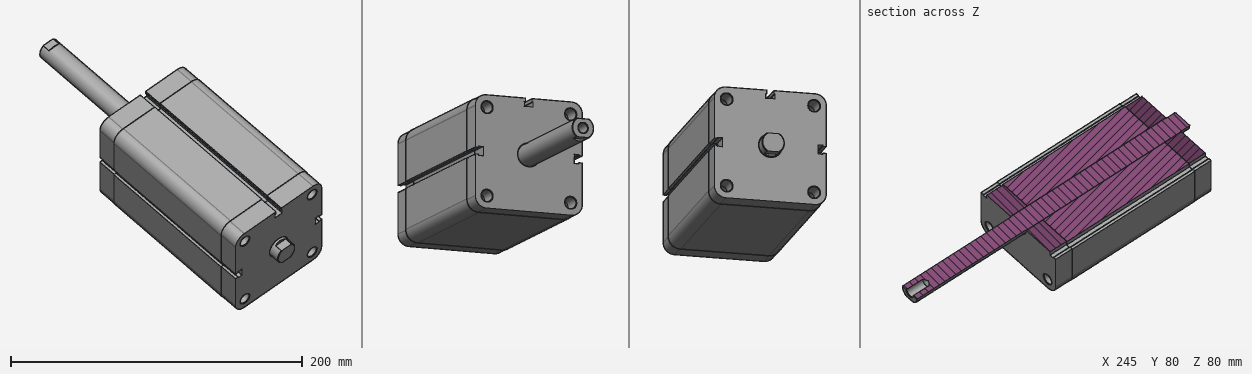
import cadquery as cq
import math

ROD_LENGTH = 245.0
BARREL_LENGTH = 110.0
CAP_LENGTH = 14.7
REAR_ROD_REACH = 8.0

BARREL_SIDE = 80.0
CAP_INSET = 0.37
BARREL_CORNER_RADIUS = 8.8
CAP_CORNER_RADIUS = 8.0
CAP_TURNS = (0, 180)
BOLT_SPACING = 62.0
BOLT_HOLE_DIAMETER = 8.0

SLOT_MOUTH_WIDTH = 5.0
SLOT_INNER_WIDTH = 6.4
SLOT_LIP = 2.5
SLOT_DEPTH = 6.0
SLOT_ANGLES = (-90, 0, 90)

ROD_DIAMETER = 16.0
ACROSS_FLATS = 13.0
FLAT_LENGTH = 6.1
SHOULDER_ANGLE = 14.0
FRONT_CHAMFER = 0.37
THREAD_HOLE_DIAMETER = 6.9
THREAD_HOLE_DEPTH = 14.7
DRILL_POINT_ANGLE = 118.0

EDGE_CHAMFER = 0.5

BODY_HALF = BARREL_LENGTH / 2 + CAP_LENGTH
ROD_REAR_X = BODY_HALF + REAR_ROD_REACH
ROD_FRONT_X = ROD_REAR_X - ROD_LENGTH


def slot_cutter(start_x, length, side):
    """T-slot on the +Z side, sunk from the face of a block with the given side."""
    top = side / 2
    section = cq.Workplane("YZ", origin=(start_x, 0, 0))
    mouth = section.center(0, top - SLOT_DEPTH / 2).rect(SLOT_MOUTH_WIDTH, SLOT_DEPTH).extrude(length)
    inner_height = SLOT_DEPTH - SLOT_LIP
    inner_z = top - SLOT_DEPTH + inner_height / 2
    inner = section.center(0, inner_z).rect(SLOT_INNER_WIDTH, inner_height).extrude(length)
    return mouth.union(inner)


def housing_block(start_x, length, side, corner_radius):
    """Rounded square block with the rod bore, four bolt holes and three T-slots."""
    section = cq.Workplane("YZ", origin=(start_x, 0, 0))
    block = section.rect(side, side).extrude(length).edges("|X").fillet(corner_radius)
    block = block.cut(section.circle(ROD_DIAMETER / 2).extrude(length))
    bolt_corners = section.rect(BOLT_SPACING, BOLT_SPACING, forConstruction=True).vertices()
    block = block.cut(bolt_corners.circle(BOLT_HOLE_DIAMETER / 2).extrude(length))
    slot = slot_cutter(start_x, length, side)
    for angle in SLOT_ANGLES:
        block = block.cut(slot.rotate((0, 0, 0), (1, 0, 0), angle))
    return block


def make_barrel():
    """Middle block of the housing, between the two caps."""
    return housing_block(-BARREL_LENGTH / 2, BARREL_LENGTH, BARREL_SIDE, BARREL_CORNER_RADIUS)


def mouth_chamfer(hole_diameter):
    """Cone, centred on the X axis, that chamfers a hole mouth on the front face of the front cap."""
    radius = hole_diameter / 2
    return cq.Workplane(
        cq.Solid.makeCone(
            radius + EDGE_CHAMFER,
            radius,
            EDGE_CHAMFER,
            pnt=cq.Vector(-BODY_HALF, 0, 0),
            dir=cq.Vector(1, 0, 0),
        )
    )


def make_cap(turn):
    """Front cap, chamfered at the hole mouths on its outer face, turned about Z to its end of the barrel."""
    cap = housing_block(-BODY_HALF, CAP_LENGTH, BARREL_SIDE - 2 * CAP_INSET, CAP_CORNER_RADIUS)
    cap = cap.cut(mouth_chamfer(ROD_DIAMETER))
    bolt_chamfer = mouth_chamfer(BOLT_HOLE_DIAMETER)
    for y in (-BOLT_SPACING / 2, BOLT_SPACING / 2):
        for z in (-BOLT_SPACING / 2, BOLT_SPACING / 2):
            cap = cap.cut(bolt_chamfer.translate((0, y, z)))
    return cap.rotate((0, 0, 0), (0, 0, 1), turn)


def wrench_flats(end_x, length):
    """Two cutters that trim one rod end to the across-flats size in Z, each with a leaning shoulder.

    A positive length runs along +X from the rod end, a negative one along -X.
    """
    flat_z = ACROSS_FLATS / 2
    outer_z = ROD_DIAMETER / 2
    lean = math.copysign((outer_z - flat_z) * math.tan(math.radians(SHOULDER_ANGLE)), length)
    upper = (
        cq.Workplane("XZ")
        .moveTo(end_x, flat_z)
        .lineTo(end_x + length, flat_z)
        .lineTo(end_x + length + lean, outer_z)
        .lineTo(end_x, outer_z)
        .close()
        .extrude(ROD_DIAMETER / 2, both=True)
    )
    return upper.union(upper.mirror("XY"))


def thread_hole():
    """Blind hole in the front end of the rod, with a chamfered mouth and a conical drill point."""
    radius = THREAD_HOLE_DIAMETER / 2
    point_length = radius / math.tan(math.radians(DRILL_POINT_ANGLE / 2))
    bottom_x = ROD_FRONT_X + THREAD_HOLE_DEPTH
    profile = (
        cq.Workplane("XY")
        .moveTo(ROD_FRONT_X, 0)
        .lineTo(ROD_FRONT_X, radius + EDGE_CHAMFER)
        .lineTo(ROD_FRONT_X + EDGE_CHAMFER, radius)
        .lineTo(bottom_x, radius)
        .lineTo(bottom_x + point_length, 0)
        .close()
    )
    return profile.revolve(360, (0, 0, 0), (1, 0, 0))


def make_rod():
    """Through rod with chamfered ends, wrench flats at both ends and a threaded hole in the front end."""
    rod = cq.Workplane("YZ", origin=(ROD_FRONT_X, 0, 0)).circle(ROD_DIAMETER / 2).extrude(ROD_LENGTH)
    rod = rod.faces("<X").chamfer(FRONT_CHAMFER)
    rod = rod.faces(">X").chamfer(EDGE_CHAMFER)
    rod = rod.cut(wrench_flats(ROD_FRONT_X, FLAT_LENGTH))
    rod = rod.cut(wrench_flats(ROD_REAR_X, -FLAT_LENGTH))
    return rod.cut(thread_hole())


barrel = make_barrel()
caps = [make_cap(turn) for turn in CAP_TURNS]
rod = make_rod()

result = cq.Compound.makeCompound([barrel.val(), *[cap.val() for cap in caps], rod.val()])